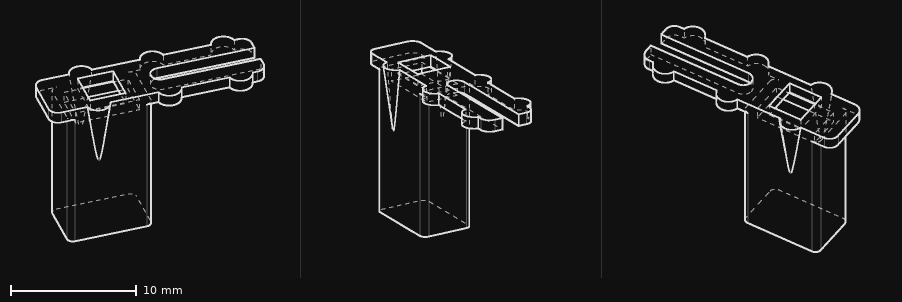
import cadquery as cq

plate_length = 18.15
plate_width = 4.55
plate_thickness = 1.0
plate_corner_radius = 0.8
front_end = -plate_length / 2
rear_end = plate_length / 2

overall_width = 6.1
lobe_radius = 1.0
lobe_x = overall_width / 2 - lobe_radius
lobe_pitch = 5.99
front_lobe_y = front_end + 4.0
cylinder_lobes_per_side = 2
cone_height = 7.2

slot_width = 1.5
slot_length = 9.0

overall_height = 13.2
post_length = 7.08
post_corner_radius = 0.5
post_y = front_end + 1.45 + post_length / 2

window_width = 3.05
window_length = 3.0
cavity_width = 2.87
cavity_wall = (plate_width - cavity_width) / 2
cavity_length = post_length - 2 * cavity_wall
cavity_floor_depth = 2.0


def block(width, length, height, y, top):
    """Box centred on x = 0, hanging down from the given top height."""
    return (
        cq.Workplane("XY")
        .box(width, length, height, centered=(True, True, False))
        .translate((0, y, top - height))
    )


def make_plate():
    plate = block(plate_width, plate_length, plate_thickness, 0, 0)
    plate = plate.edges("|Z").fillet(plate_corner_radius)
    centers = [
        (side * lobe_x, front_lobe_y + step * lobe_pitch)
        for side in (-1, 1)
        for step in range(1, cylinder_lobes_per_side + 1)
    ]
    lobes = cq.Workplane("XY").pushPoints(centers).circle(lobe_radius).extrude(-plate_thickness)
    return plate.union(lobes)


def make_slot():
    straight_length = slot_length - slot_width / 2
    end_y = rear_end - straight_length
    straight = block(slot_width, straight_length, plate_thickness, rear_end - straight_length / 2, 0)
    round_end = cq.Workplane("XY").center(0, end_y).circle(slot_width / 2).extrude(-plate_thickness)
    return straight.union(round_end)


def make_post():
    post = block(plate_width, post_length, overall_height, post_y, 0)
    return post.edges("|Z").fillet(post_corner_radius)


def make_cone(side):
    """Front lobe, tapering from the top face into the side of the post."""
    start = cq.Vector(side * lobe_x, front_lobe_y, 0)
    return cq.Solid.makeCone(lobe_radius, 0, cone_height, start, cq.Vector(0, 0, -1))


body = make_plate().union(make_post())
for side in (-1, 1):
    body = body.union(cq.Workplane(make_cone(side)))

window = block(window_width, window_length, plate_thickness, post_y, 0)
cavity_height = cavity_floor_depth - plate_thickness
cavity = block(cavity_width, cavity_length, cavity_height, post_y, -plate_thickness)

result = body.cut(make_slot()).cut(window).cut(cavity)